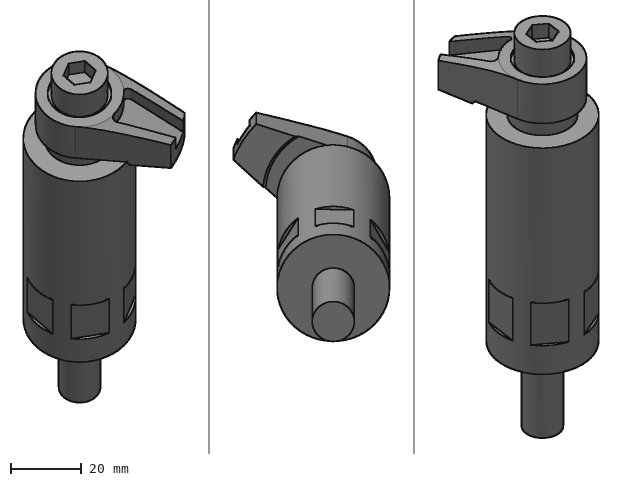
import cadquery as cq
import math

TOTAL_HEIGHT = 139.0
HOUSING_BOTTOM = 30.0
HOUSING_HEIGHT = 80.0
HOUSING_TOP = HOUSING_BOTTOM + HOUSING_HEIGHT
HUB_TOP = 130.1
HUB_HEIGHT = 13.9
HUB_BOTTOM = HUB_TOP - HUB_HEIGHT

HOUSING_DIAMETER = 32.0
STUD_DIAMETER = 12.0
FLAT_COUNT = 6
ACROSS_FLATS = 30.0
FLATS_BOTTOM = 40.2
FLATS_HEIGHT = 15.0

COLLAR_DIAMETER = 20.0
HEAD_DIAMETER = 16.0
SOCKET_ACROSS_FLATS = 8.0
SOCKET_DEPTH = 5.0
SOCKET_SIDES = 6

HUB_RADIUS = 12.5
RECESS_DIAMETER = 18.1
RECESS_DEPTH = 1.0
ARM_REACH = 30.0
TIP_HALF_WIDTH = 6.3
TIP_TOP = 125.2
PAD_DROP = 1.3
PAD_RADIUS = 20.0
PAD_RAMP = 0.8

POCKET_DEPTH = 4.9
POCKET_ROOT_X = 13.2
POCKET_ROOT_HALF_WIDTH = 6.4
POCKET_TIP_HALF_WIDTH = 3.2
POCKET_CORNER_RADIUS = 1.5


def cylinder(diameter, bottom, top):
    return cq.Workplane("XY").workplane(offset=bottom).circle(diameter / 2).extrude(top - bottom)


def make_housing():
    body = cylinder(HOUSING_DIAMETER, HOUSING_BOTTOM, HOUSING_TOP)
    flat_cutter = cq.Workplane("XY").box(
        HOUSING_DIAMETER, HOUSING_DIAMETER, FLATS_HEIGHT, centered=(False, True, False)
    ).translate((ACROSS_FLATS / 2, 0, FLATS_BOTTOM))
    for index in range(FLAT_COUNT):
        angle = index * 360 / FLAT_COUNT
        body = body.cut(flat_cutter.rotate((0, 0, 0), (0, 0, 1), angle))
    return body.union(cylinder(STUD_DIAMETER, 0, HOUSING_BOTTOM))


def make_spindle():
    collar = cylinder(COLLAR_DIAMETER, HOUSING_TOP, HUB_BOTTOM)
    head = cylinder(HEAD_DIAMETER, HUB_BOTTOM, TOTAL_HEIGHT)
    socket = (
        cq.Workplane("XY").workplane(offset=TOTAL_HEIGHT - SOCKET_DEPTH)
        .polygon(SOCKET_SIDES, SOCKET_ACROSS_FLATS / math.cos(math.pi / SOCKET_SIDES))
        .extrude(SOCKET_DEPTH)
        .rotate((0, 0, 0), (0, 0, 1), 180 / SOCKET_SIDES)
    )
    return collar.union(head).cut(socket)


def make_arm():
    profile = (
        cq.Workplane("XZ")
        .moveTo(0, HUB_BOTTOM)
        .lineTo(PAD_RADIUS - PAD_RAMP, HUB_BOTTOM)
        .lineTo(PAD_RADIUS, HUB_BOTTOM - PAD_DROP)
        .lineTo(ARM_REACH, HUB_BOTTOM - PAD_DROP)
        .lineTo(ARM_REACH, TIP_TOP)
        .lineTo(HUB_RADIUS, HUB_TOP)
        .lineTo(0, HUB_TOP)
        .close()
    )
    disc = profile.revolve(360, (0, 0), (0, 1))

    corner_angle = math.asin(TIP_HALF_WIDTH / ARM_REACH)
    tangent_angle = corner_angle + math.acos(HUB_RADIUS / ARM_REACH)
    tangent_x = HUB_RADIUS * math.cos(tangent_angle)
    tangent_y = HUB_RADIUS * math.sin(tangent_angle)
    corner_x = ARM_REACH * math.cos(corner_angle)
    outline = (
        cq.Workplane("XY")
        .moveTo(0, 0)
        .lineTo(tangent_x, -tangent_y)
        .lineTo(corner_x, -TIP_HALF_WIDTH)
        .threePointArc((ARM_REACH, 0), (corner_x, TIP_HALF_WIDTH))
        .lineTo(tangent_x, tangent_y)
        .close()
        .extrude(TOTAL_HEIGHT)
    )
    return disc.intersect(outline)


def pocket_taper():
    return (POCKET_ROOT_HALF_WIDTH - POCKET_TIP_HALF_WIDTH) / (ARM_REACH - POCKET_ROOT_X)


def top_slope():
    return (HUB_TOP - TIP_TOP) / (ARM_REACH - HUB_RADIUS)


def make_pocket():
    axis_half_width = POCKET_ROOT_HALF_WIDTH + POCKET_ROOT_X * pocket_taper()
    plan = (
        cq.Workplane("XY")
        .moveTo(0, -axis_half_width)
        .lineTo(ARM_REACH, -POCKET_TIP_HALF_WIDTH)
        .lineTo(ARM_REACH, POCKET_TIP_HALF_WIDTH)
        .lineTo(0, axis_half_width)
        .close()
        .extrude(TOTAL_HEIGHT)
        .cut(cylinder(2 * HUB_RADIUS, 0, TOTAL_HEIGHT))
        .edges(cq.selectors.BoxSelector(
            (0, -HUB_RADIUS, 0), (HUB_RADIUS, HUB_RADIUS, TOTAL_HEIGHT)))
        .edges("|Z")
        .fillet(POCKET_CORNER_RADIUS)
    )
    space_above_floor = (
        cq.Workplane("XZ")
        .moveTo(0, HUB_TOP - POCKET_DEPTH + HUB_RADIUS * top_slope())
        .lineTo(ARM_REACH, TIP_TOP - POCKET_DEPTH)
        .lineTo(ARM_REACH, TOTAL_HEIGHT)
        .lineTo(0, TOTAL_HEIGHT)
        .close()
        .extrude(HUB_RADIUS, both=True)
    )
    return plan.intersect(space_above_floor)


def make_lever():
    hub = cylinder(2 * HUB_RADIUS, HUB_BOTTOM, HUB_TOP)
    bore = cylinder(HEAD_DIAMETER, HUB_BOTTOM, HUB_TOP)
    recess = cylinder(RECESS_DIAMETER, HUB_TOP - RECESS_DEPTH, HUB_TOP)
    return hub.union(make_arm()).cut(make_pocket()).cut(bore).cut(recess)


housing = make_housing()
spindle = make_spindle()
lever = make_lever()

result = cq.Compound.makeCompound([housing.val(), spindle.val(), lever.val()])